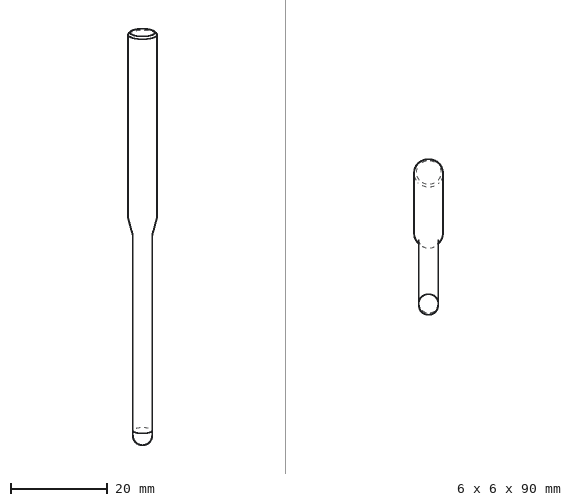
import cadquery as cq
import math

total_length = 90.0
shank_radius = 6.0 / 2
chamfer_size = 0.45

cutter_top = 3.15
blend_bottom = 45.3
cone_bottom = 46.9
shank_bottom = 49.6

neck_radius = 4.05 / 2
ball_radius = neck_radius
cone_bottom_radius = 2.3


def make_shank():
    """Chamfered shank that tapers and blends into the long neck."""
    rise = cone_bottom - blend_bottom
    step = cone_bottom_radius - neck_radius
    blend_radius = (rise**2 + step**2) / (2 * step)
    half_angle = math.asin(rise / blend_radius) / 2
    blend_middle = (
        neck_radius + blend_radius * (1 - math.cos(half_angle)),
        blend_bottom + blend_radius * math.sin(half_angle),
    )
    return (
        cq.Workplane("XZ")
        .moveTo(0, cutter_top)
        .lineTo(neck_radius, cutter_top)
        .lineTo(neck_radius, blend_bottom)
        .threePointArc(blend_middle, (cone_bottom_radius, cone_bottom))
        .lineTo(shank_radius, shank_bottom)
        .lineTo(shank_radius, total_length - chamfer_size)
        .lineTo(shank_radius - chamfer_size, total_length)
        .lineTo(0, total_length)
        .close()
        .revolve(360, (0, 0, 0), (0, 1, 0))
    )


def make_cutter():
    """Ball-nosed cutting tip with a short cylindrical land, flush with the neck."""
    diagonal = ball_radius * math.sqrt(0.5)
    return (
        cq.Workplane("XZ")
        .moveTo(0, 0)
        .threePointArc((diagonal, ball_radius - diagonal), (ball_radius, ball_radius))
        .lineTo(ball_radius, cutter_top)
        .lineTo(0, cutter_top)
        .close()
        .revolve(360, (0, 0, 0), (0, 1, 0))
    )


shank = make_shank()
cutter = make_cutter()

result = cq.Compound.makeCompound([shank.val(), cutter.val()])